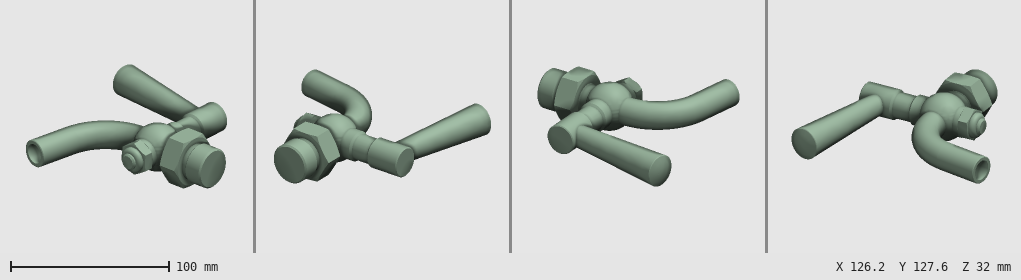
import cadquery as cq
import math


ball_radius = 15.6
spindle_radius = 10.0

collar_top = 20.5
stem_radius = 8.5
shoulder = spindle_radius - stem_radius
hub_bottom = 32.5
hub_top = 56.5
hub_edge_break = 0.6

lower_collar_depth = 15.8
plug_nut_depth = 23.0
plug_nut_flats = 19.3
plug_nut_chamfer = 0.5
cap_radius = 8.3
cap_depth = 26.9
cap_round = 2.9
stud_radius = 5.4
stud_depth = 29.0
stud_chamfer = 1.0

inlet_radius = 10.1
inlet_flare = 0.6
inlet_nut_start = 17.0
inlet_nut_end = 31.0
inlet_nut_flats = 32.0
inlet_nut_chamfer = 1.0
relief_radius = 12.1
thread_start = 34.1
thread_end = 46.8
thread_radius = 13.1
thread_chamfer = 1.0

spout_tilt = 10.0
spout_radius = 9.0
bore_radius = 6.5
bend_start = 12.9
bend_radius = 35.0
spout_length = 29.7
spout_edge_break = 0.45

handle_tilt = 10.0
handle_height = 44.0
handle_length = 78.0
handle_root_radius = 6.9
handle_end_radius = 10.6
handle_dome = 2.3
handle_edge_break = 0.4


def turned_along_y(points):
    """Solid of revolution about Y from (radius, y) points."""
    return cq.Workplane("XY").polyline(points).close().revolve(360, (0, 0), (0, 1))


def turned_along_x(points):
    """Solid of revolution about X from (x, radius) points."""
    return cq.Workplane("XY").polyline(points).close().revolve(360, (0, 0), (1, 0))


def hexagon_nut(flats, start, end, chamfer):
    """Hexagon along X with corners on +/-Y, chamfered to a circle across the flats at both ends."""
    corner = flats / math.sqrt(3)
    hexagon = (
        cq.Workplane("YZ", origin=(start, 0, 0))
        .polygon(6, 2 * corner)
        .extrude(end - start)
    )
    envelope = turned_along_x([
        (start, 0),
        (start, flats / 2),
        (start + chamfer, corner),
        (end - chamfer, corner),
        (end, flats / 2),
        (end, 0),
    ])
    return hexagon.intersect(envelope)


def make_spindle():
    return turned_along_y([
        (0, 0),
        (spindle_radius, 0),
        (spindle_radius, collar_top - shoulder),
        (stem_radius, collar_top),
        (stem_radius, hub_bottom),
        (spindle_radius, hub_bottom + shoulder),
        (spindle_radius, hub_top - hub_edge_break),
        (spindle_radius - hub_edge_break, hub_top),
        (0, hub_top),
    ])


def make_plug_nut():
    """Collar, hexagon, rounded cap and stud end, stacked towards -Y."""
    collar = turned_along_y([
        (0, 0),
        (spindle_radius, 0),
        (spindle_radius, -lower_collar_depth),
        (0, -lower_collar_depth),
    ])

    hexagon = (
        hexagon_nut(plug_nut_flats, lower_collar_depth, plug_nut_depth, plug_nut_chamfer)
        .rotate((0, 0, 0), (1, 0, 0), 90)
        .rotate((0, 0, 0), (0, 0, 1), -90)
    )

    cap = cq.Workplane("XZ").circle(cap_radius).extrude(cap_depth)
    cap = cap.faces("<Y").edges().fillet(cap_round)
    stud = cq.Workplane("XZ").circle(stud_radius).extrude(stud_depth)
    stud = stud.faces("<Y").chamfer(stud_chamfer)
    return collar.union(hexagon).union(cap).union(stud)


def make_inlet():
    """Round tail, union nut and threaded end, lined up along +X."""
    relief_step = thread_radius - relief_radius
    tail = turned_along_x([
        (0, 0),
        (0, inlet_radius),
        (inlet_nut_start - inlet_flare, inlet_radius),
        (inlet_nut_start, inlet_radius + inlet_flare),
        (inlet_nut_start, relief_radius),
        (thread_start, relief_radius),
        (thread_start + relief_step, thread_radius),
        (thread_end - thread_chamfer, thread_radius),
        (thread_end, thread_radius - thread_chamfer),
        (thread_end, 0),
    ])

    nut = hexagon_nut(inlet_nut_flats, inlet_nut_start, inlet_nut_end, inlet_nut_chamfer)
    return tail.union(nut)


def spout_bend(radius):
    """Round bar following the bend, starting inside the body."""
    return (
        cq.Workplane("YZ", origin=(-bend_start, 0, 0))
        .circle(radius)
        .revolve(90 - spout_tilt, (-bend_radius, 0), (-bend_radius, 1))
    )


def spout_straight(radius):
    """Round bar carrying on straight from the end of the bend."""
    tilt = math.radians(spout_tilt)
    bend_end = (
        -bend_start - bend_radius * math.cos(tilt),
        -bend_radius * (1 - math.sin(tilt)),
        0,
    )
    direction = (-math.sin(tilt), -math.cos(tilt), 0)
    plane = cq.Plane(origin=bend_end, xDir=(0, 0, 1), normal=direction)
    return cq.Workplane(plane).circle(radius).extrude(spout_length)


def make_spout():
    root = cq.Workplane("YZ").circle(spout_radius).extrude(-bend_start)
    straight = spout_straight(spout_radius).faces("<Y").chamfer(spout_edge_break)
    return root.union(spout_bend(spout_radius)).union(straight)


def make_handle():
    """Cone widening away from the spindle, closed by a shallow dome."""
    rim = handle_end_radius - handle_edge_break
    taper = (handle_end_radius - handle_root_radius) / handle_length
    shoulder_x = -handle_length + handle_edge_break
    dome_sphere = (rim ** 2 + handle_dome ** 2) / (2 * handle_dome)
    half_angle = math.asin(rim / dome_sphere) / 2
    dome_centre = -handle_length - handle_dome + dome_sphere
    dome_middle = (
        dome_centre - dome_sphere * math.cos(half_angle),
        dome_sphere * math.sin(half_angle),
    )
    return (
        cq.Workplane("XY")
        .moveTo(0, 0)
        .lineTo(0, handle_root_radius)
        .lineTo(shoulder_x, handle_root_radius - taper * shoulder_x)
        .lineTo(-handle_length, rim)
        .threePointArc(dome_middle, (-handle_length - handle_dome, 0))
        .close()
        .revolve(360, (0, 0), (1, 0))
        .rotate((0, 0, 0), (0, 0, 1), -handle_tilt)
        .translate((0, handle_height, 0))
    )


result = (
    cq.Workplane("XY").sphere(ball_radius)
    .union(make_spindle())
    .union(make_plug_nut())
    .union(make_inlet())
    .union(make_spout())
    .union(make_handle())
    .cut(spout_bend(bore_radius))
    .cut(spout_straight(bore_radius))
)